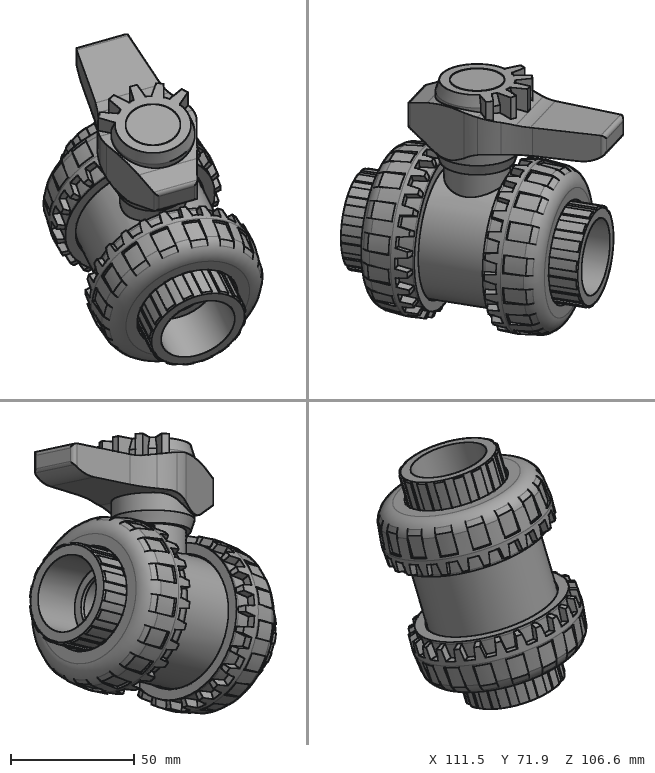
import cadquery as cq
import math


BORE_D = 25.0
BODY_D = 55.0
BODY_THREAD_D = 55.9
BODY_END_X = 27.9
THREAD_START_X = 16.2
NECK_D = 27.0

OVERALL_LENGTH = 111.5
CONNECTOR_END_X = 51.6
CONNECTOR_D = 42.0
COLLAR_D = 50.7
COLLAR_LENGTH = 4.5
SOCKET_D = 32.0
SOCKET_DEPTH = 22.0
GROOVE_COUNT = 16
GROOVE_ANGLE = 10.4
GROOVE_FLOOR_R = 20.2
GROOVE_END_X = 37.9
RIB_CHAMFER_LENGTH = 0.5

NUT_D = 71.9
NUT_HOLE_D = 43.7
NUT_THREAD_D = 56.0
NUT_FACE_X = 39.6
NUT_FACE_D = 53.7
NUT_ROUND_END_X = 33.5
NUT_ROUND_END_R = 34.9
RIM_CREST_X = 24.0
RIM_END_X = 16.7
RIM_END_R = 35.7
SLEEVE_START_X = 15.7
SLEEVE_END_X = 14.8
SLEEVE_R = 32.5

POCKET_COUNT = 16
POCKET_ANGLE = 12.2
POCKET_END_X = 24.9
POCKET_DEEP_R = 34.8
POCKET_KNEE_X = 34.5
POCKET_KNEE_R = 34.5
POCKET_EXIT_X = 38.8
POCKET_EXIT_R = 31.9

SLOT_COUNT = 25
SLOT_START_X = 22.0
SLOT_START_ANGLE = 7.4
SLOT_END_ANGLE = 10.7

OVERALL_HEIGHT = 106.6
HANDLE_TOP_Z = OVERALL_HEIGHT - NUT_D / 2
HUB_D = 34.0
HUB_BOTTOM_Z = 35.0
HUB_BOTTOM_D = 30.8
HUB_CONE_TOP_Z = 39.8
HEAD_CONE_Z = 65.7
HEAD_TOP_D = 30.9
TOP_RECESS_D = 22.3
TOP_RECESS_DEPTH = 0.2

LEVER_TIP_X = CONNECTOR_END_X - OVERALL_LENGTH
LEVER_TAIL_X = 27.0
LEVER_TOP_Z = 59.8
LEVER_BOTTOM_Z = 47.2
TAIL_TOP_Z = 59.8
TAIL_BOTTOM_Z = 49.5
TIP_BOTTOM_Z = 51.4
TIP_HALF_WIDTH = 11.0
TAIL_HALF_WIDTH = 9.0
TIP_ROUND = 1.9
TAIL_ROUND = 1.9

GRIP_END_X = -28.4
RAMP_START = (-22.6, 60.3)
RAMP_END = (-7.8, 63.4)
CROWN_END = (17.0, 62.9)
BELLY_RIGHT = (13.7, 42.4)
BELLY_LOW = (7.6, 40.8)
BELLY_LEFT = (2.6, 41.8)
UNDERCUT_START = (-1.6, 43.8)
UNDERCUT_MID = (-6.0, 46.2)
UNDERCUT_END_X = -10.9
TIP_CURVE_X = -49.0

FLARE_START = (-29.4, 14.0)
FLARE_MID = (-22.9, 15.4)
FLARE_END = (-17.0, 17.5)
SHOULDER_MID = (-12.7, 19.3)
SHOULDER_END = (-7.8, 20.2)
WIDEST_MID = (-4.6, 20.2)
WIDEST_END = (-1.7, 19.6)

TOOTH_COUNT = 5
TOOTH_PITCH_ANGLE = 27.9
TOOTH_TIP_R = 22.5
TOOTH_TIP_WIDTH = 3.1
TOOTH_ROOT_R = 13.4
TOOTH_ROOT_WIDTH = 5.6
TOOTH_BOTTOM_Z = 55.8

OVERLAP = 1.1


def x_cylinder(diameter, x_start, x_end):
    """Cylinder about the X axis."""
    plane = cq.Workplane("YZ", origin=(x_start, 0, 0))
    return plane.circle(diameter / 2).extrude(x_end - x_start)


def around_x(shape, count, start_angle=0.0):
    """Evenly spaced copies of a shape about the X axis."""
    step = 360 / count
    return [shape.rotate((0, 0, 0), (1, 0, 0), start_angle + i * step) for i in range(count)]


def cut_all(shape, tools):
    """Cut a list of separate tools out of a shape."""
    compound = cq.Compound.makeCompound([tool.val() for tool in tools])
    return shape.cut(cq.Workplane(compound))


def sector(points, angle):
    """Profile of (x, radius) points swept about X, centred on the +Y direction."""
    swept = cq.Workplane("XY").polyline(points).close().revolve(angle, (0, 0, 0), (1, 0, 0))
    return swept.rotate((0, 0, 0), (1, 0, 0), -angle / 2)


def make_connector():
    """Left end connector: ribbed pipe socket with a collar held behind the nut wall."""
    collar_end = -BODY_END_X
    rib_r = CONNECTOR_D / 2
    profile = [
        (-CONNECTOR_END_X, 0),
        (-CONNECTOR_END_X, GROOVE_FLOOR_R),
        (-CONNECTOR_END_X + RIB_CHAMFER_LENGTH, rib_r),
        (collar_end - COLLAR_LENGTH, rib_r),
        (collar_end - COLLAR_LENGTH, COLLAR_D / 2),
        (collar_end, COLLAR_D / 2),
        (collar_end, 0),
    ]
    pipe = cq.Workplane("XY").polyline(profile).close().revolve(360, (0, 0, 0), (1, 0, 0))
    groove = sector(
        [
            (-CONNECTOR_END_X - OVERLAP, GROOVE_FLOOR_R),
            (-CONNECTOR_END_X - OVERLAP, rib_r + OVERLAP),
            (-GROOVE_END_X, rib_r + OVERLAP),
            (-GROOVE_END_X, GROOVE_FLOOR_R),
        ],
        GROOVE_ANGLE,
    )
    pipe = cut_all(pipe, around_x(groove, GROOVE_COUNT))
    socket = x_cylinder(SOCKET_D, -CONNECTOR_END_X, -CONNECTOR_END_X + SOCKET_DEPTH)
    return pipe.cut(socket).cut(x_cylinder(BORE_D, -CONNECTOR_END_X, collar_end))


def make_rim_slot():
    """Cutter for one rim slot facing -Y, wider at the rim end, with its floor level with the sleeve."""

    def section(radius):
        start_half = radius * math.tan(math.radians(SLOT_START_ANGLE / 2))
        end_half = radius * math.tan(math.radians(SLOT_END_ANGLE / 2))
        corners = [
            (-SLOT_START_X, -start_half),
            (-SLOT_START_X, start_half),
            (-SLEEVE_START_X, end_half),
            (-SLEEVE_START_X, -end_half),
        ]
        return cq.Workplane("XZ", origin=(0, -radius, 0)).polyline(corners).close().wire().val()

    inner = section(SLEEVE_R - OVERLAP)
    outer = section(NUT_D / 2 + OVERLAP)
    wedge = cq.Workplane(cq.Solid.makeLoft([inner, outer], True))
    return wedge.cut(x_cylinder(2 * SLEEVE_R, -NUT_FACE_X, 0))


def make_nut():
    """Left union nut: rounded cap with grip pockets and a toothed rim."""
    wall_inner_x = -BODY_END_X - COLLAR_LENGTH
    nut = (
        cq.Workplane("XY")
        .moveTo(-NUT_FACE_X, NUT_HOLE_D / 2)
        .lineTo(-NUT_FACE_X, NUT_FACE_D / 2)
        .tangentArcPoint((-NUT_ROUND_END_X, NUT_ROUND_END_R), relative=False)
        .lineTo(-RIM_CREST_X, NUT_D / 2)
        .lineTo(-RIM_END_X, RIM_END_R)
        .lineTo(-SLEEVE_START_X, SLEEVE_R)
        .lineTo(-SLEEVE_END_X, SLEEVE_R)
        .lineTo(-SLEEVE_END_X, NUT_THREAD_D / 2)
        .lineTo(wall_inner_x, NUT_THREAD_D / 2)
        .lineTo(wall_inner_x, NUT_HOLE_D / 2)
        .close()
        .revolve(360, (0, 0, 0), (1, 0, 0))
    )
    pocket = sector(
        [
            (-POCKET_END_X, POCKET_DEEP_R),
            (-POCKET_KNEE_X, POCKET_KNEE_R),
            (-POCKET_EXIT_X, POCKET_EXIT_R),
            (-POCKET_EXIT_X, NUT_D / 2 + OVERLAP),
            (-POCKET_END_X, NUT_D / 2 + OVERLAP),
        ],
        POCKET_ANGLE,
    )
    slot = make_rim_slot()
    nut = cut_all(nut, around_x(pocket, POCKET_COUNT, 180 / POCKET_COUNT))
    return cut_all(nut, around_x(slot, SLOT_COUNT))


def make_lever():
    """Lever: its side profile extruded across Y, trimmed to its outline in plan."""
    side = (
        cq.Workplane("XZ")
        .moveTo(LEVER_TIP_X, LEVER_TOP_Z)
        .lineTo(GRIP_END_X, LEVER_TOP_Z)
        .tangentArcPoint(RAMP_START, relative=False)
        .lineTo(*RAMP_END)
        .tangentArcPoint(CROWN_END, relative=False)
        .lineTo(LEVER_TAIL_X, TAIL_TOP_Z)
        .lineTo(LEVER_TAIL_X, TAIL_BOTTOM_Z)
        .lineTo(*BELLY_RIGHT)
        .threePointArc(BELLY_LOW, BELLY_LEFT)
        .lineTo(*UNDERCUT_START)
        .threePointArc(UNDERCUT_MID, (UNDERCUT_END_X, LEVER_BOTTOM_Z))
        .lineTo(TIP_CURVE_X, LEVER_BOTTOM_Z)
        .tangentArcPoint((LEVER_TIP_X, TIP_BOTTOM_Z), relative=False)
        .close()
        .extrude(NUT_D / 2, both=True)
    )
    half_plan = (
        cq.Workplane("XY")
        .moveTo(LEVER_TIP_X, 0)
        .lineTo(LEVER_TIP_X, TIP_HALF_WIDTH)
        .lineTo(*FLARE_START)
        .threePointArc(FLARE_MID, FLARE_END)
        .threePointArc(SHOULDER_MID, SHOULDER_END)
        .threePointArc(WIDEST_MID, WIDEST_END)
        .lineTo(LEVER_TAIL_X, TAIL_HALF_WIDTH)
        .lineTo(LEVER_TAIL_X, 0)
        .close()
        .extrude(HANDLE_TOP_Z)
    )
    plan = half_plan.union(half_plan.mirror("XZ"))
    lever = side.intersect(plan)
    lever = lever.faces("<X").edges().fillet(TIP_ROUND)
    return lever.faces(">X").edges().fillet(TAIL_ROUND)


def make_handle():
    """Handle: lever, turned hub and head, and a fan of gear teeth toward the lever tip."""
    hub = (
        cq.Workplane("XZ")
        .polyline(
            [
                (0, HUB_BOTTOM_Z),
                (HUB_BOTTOM_D / 2, HUB_BOTTOM_Z),
                (HUB_D / 2, HUB_CONE_TOP_Z),
                (HUB_D / 2, HEAD_CONE_Z),
                (HEAD_TOP_D / 2, HANDLE_TOP_Z),
                (0, HANDLE_TOP_Z),
            ]
        )
        .close()
        .revolve(360, (0, 0, 0), (0, 1, 0))
    )
    tooth = (
        cq.Workplane("XY", origin=(0, 0, TOOTH_BOTTOM_Z))
        .polyline(
            [
                (-TOOTH_TIP_R, -TOOTH_TIP_WIDTH / 2),
                (-TOOTH_TIP_R, TOOTH_TIP_WIDTH / 2),
                (-TOOTH_ROOT_R, TOOTH_ROOT_WIDTH / 2),
                (-TOOTH_ROOT_R, -TOOTH_ROOT_WIDTH / 2),
            ]
        )
        .close()
        .extrude(HANDLE_TOP_Z - TOOTH_BOTTOM_Z)
    )
    handle = make_lever().union(hub)
    for i in range(TOOTH_COUNT):
        angle = (i - (TOOTH_COUNT - 1) / 2) * TOOTH_PITCH_ANGLE
        handle = handle.union(tooth.rotate((0, 0, 0), (0, 0, 1), angle))
    top = cq.Workplane("XY", origin=(0, 0, HANDLE_TOP_Z))
    recess = top.circle(TOP_RECESS_D / 2).extrude(-TOP_RECESS_DEPTH)
    return handle.cut(recess)


def make_valve_body():
    """Valve body with its threaded ends, stem neck and handle in one piece."""
    body = x_cylinder(BODY_D, -BODY_END_X, BODY_END_X)
    thread = x_cylinder(BODY_THREAD_D, -BODY_END_X, -THREAD_START_X)
    neck = cq.Workplane("XY").circle(NECK_D / 2).extrude(HUB_BOTTOM_Z)
    body = body.union(thread).union(thread.mirror("YZ")).union(neck).union(make_handle())
    return body.cut(x_cylinder(BORE_D, -BODY_END_X, BODY_END_X))


valve_body = make_valve_body()
left_nut = make_nut()
left_connector = make_connector()

nuts = [left_nut.rotate((0, 0, 0), (0, 0, 1), turn) for turn in (0, 180)]
connectors = [left_connector.rotate((0, 0, 0), (0, 0, 1), turn) for turn in (0, 180)]

result = cq.Compound.makeCompound(
    [
        valve_body.solids().val(),
        *[nut.solids().val() for nut in nuts],
        *[connector.solids().val() for connector in connectors],
    ]
)